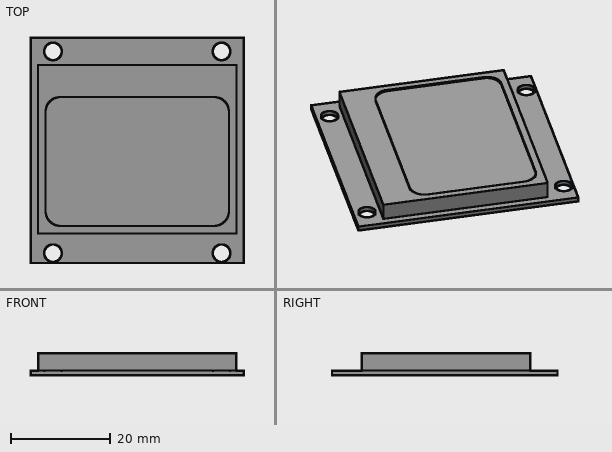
import cadquery as cq

board_width = 43.0
board_length = 45.5
board_thickness = 1.0
overall_height = 4.5

hole_diameter = 3.5
hole_spacing_x = 34.0
hole_spacing_y = 40.7
hole_edge_offset = 2.0

module_width = 40.0
module_length = 34.0
module_front_margin = 6.0
module_height = overall_height - board_thickness

window_width = 37.0
window_length = 26.0
window_corner_radius = 3.0
window_depth = 0.3
window_front_margin = (module_width - window_width) / 2

board_front = -board_length / 2
hole_center_y = board_front + hole_edge_offset + hole_spacing_y / 2
module_front = board_front + module_front_margin
module_center_y = module_front + module_length / 2
window_center_y = module_front + window_front_margin + window_length / 2


def block(width, length, height, center_y, base_z):
    """Rectangular block centred in X, standing on the height base_z."""
    return (
        cq.Workplane("XY", origin=(0, center_y, base_z))
        .rect(width, length)
        .extrude(height)
    )


def make_board():
    """Flat board with four mounting holes through it."""
    holes = (
        cq.Workplane("XY", origin=(0, hole_center_y, 0))
        .rect(hole_spacing_x, hole_spacing_y, forConstruction=True)
        .vertices()
        .circle(hole_diameter / 2)
        .extrude(board_thickness)
    )
    return block(board_width, board_length, board_thickness, 0, 0).cut(holes)


def make_module():
    """Display module with a round-cornered window recess in its top."""
    body = block(module_width, module_length, module_height, module_center_y, board_thickness)
    window = block(
        window_width, window_length, window_depth, window_center_y, overall_height - window_depth
    )
    return body.cut(window.edges("|Z").fillet(window_corner_radius))


result = make_board().union(make_module())